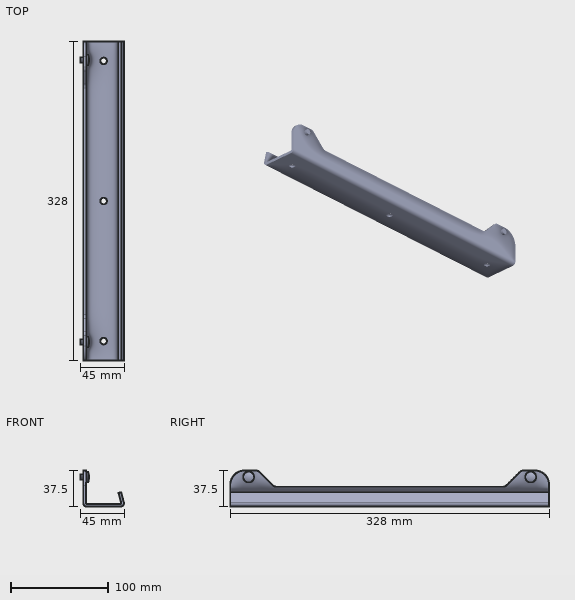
import cadquery as cq
import math

LENGTH = 328.0
CHANNEL_WIDTH = 42.0
WALL_HEIGHT = 37.5
SHEET = 3.0
INNER_BEND_RADIUS = 0.5
OUTER_BEND_RADIUS = INNER_BEND_RADIUS + SHEET

LIP_LEAN = math.radians(15)
LIP_TOP = 15.0

LOW_EDGE_HEIGHT = 20.5
EAR_CORNER_RADIUS = 15.0
EAR_TOP_END = 28.5
SLOPE_RADIUS = 6.0

FLOOR_HOLE_DIAMETER = 6.5
FLOOR_HOLE_X = CHANNEL_WIDTH / 2
FLOOR_HOLE_END_DISTANCE = 20.0
FLOOR_HOLE_OUTER_Y = LENGTH / 2 - FLOOR_HOLE_END_DISTANCE

SHANK_DIAMETER = 6.0
SHANK_PROTRUSION = 3.0
HEAD_DIAMETER = 11.0
HEAD_RIM = 2.0
HEAD_DOME = 1.15
RIVET_END_DISTANCE = 19.0
RIVET_DROP = 7.0
RIVET_Y = LENGTH / 2 - RIVET_END_DISTANCE
RIVET_Z = WALL_HEIGHT - RIVET_DROP


def bend_point(center, radius, angle):
    """Point at the given angle, in radians, on a bend about center."""
    return (center[0] + radius * math.cos(angle), center[1] + radius * math.sin(angle))


def channel_profile():
    """Bent cross-section in XZ, extruded over the full length."""
    wall_bend = (OUTER_BEND_RADIUS, OUTER_BEND_RADIUS)
    lip_bend = (CHANNEL_WIDTH - OUTER_BEND_RADIUS, OUTER_BEND_RADIUS)
    floor_side = -math.pi / 2
    wall_bend_middle = -3 * math.pi / 4
    lip_bend_middle = (floor_side + LIP_LEAN) / 2

    lip_outer_foot = bend_point(lip_bend, OUTER_BEND_RADIUS, LIP_LEAN)
    lip_inner_foot = bend_point(lip_bend, INNER_BEND_RADIUS, LIP_LEAN)
    lip_length = (LIP_TOP - lip_outer_foot[1]) / math.cos(LIP_LEAN)
    lip_outer_tip = bend_point(lip_outer_foot, lip_length, LIP_LEAN + math.pi / 2)
    lip_inner_tip = bend_point(lip_inner_foot, lip_length, LIP_LEAN + math.pi / 2)

    return (
        cq.Workplane("XZ")
        .moveTo(0, WALL_HEIGHT)
        .lineTo(0, OUTER_BEND_RADIUS)
        .threePointArc(
            bend_point(wall_bend, OUTER_BEND_RADIUS, wall_bend_middle),
            bend_point(wall_bend, OUTER_BEND_RADIUS, floor_side),
        )
        .lineTo(*bend_point(lip_bend, OUTER_BEND_RADIUS, floor_side))
        .threePointArc(bend_point(lip_bend, OUTER_BEND_RADIUS, lip_bend_middle), lip_outer_foot)
        .lineTo(*lip_outer_tip)
        .lineTo(*lip_inner_tip)
        .lineTo(*lip_inner_foot)
        .threePointArc(
            bend_point(lip_bend, INNER_BEND_RADIUS, lip_bend_middle),
            bend_point(lip_bend, INNER_BEND_RADIUS, floor_side),
        )
        .lineTo(*bend_point(wall_bend, INNER_BEND_RADIUS, floor_side))
        .threePointArc(
            bend_point(wall_bend, INNER_BEND_RADIUS, wall_bend_middle),
            (SHEET, OUTER_BEND_RADIUS),
        )
        .lineTo(SHEET, WALL_HEIGHT)
        .close()
        .extrude(LENGTH / 2, both=True)
    )


def wall_outline():
    """Plate with the side outline of the tall wall, as wide as the channel."""
    blank = cq.Workplane("XY").box(CHANNEL_WIDTH, LENGTH, WALL_HEIGHT, centered=(False, True, False))
    blank = blank.edges("|X and >Z").fillet(EAR_CORNER_RADIUS)

    slope_rise = WALL_HEIGHT - LOW_EDGE_HEIGHT
    gap_half_top = LENGTH / 2 - EAR_TOP_END
    gap_half_bottom = gap_half_top - slope_rise
    gap = (
        cq.Workplane("YZ")
        .polyline(
            [
                (-gap_half_top, WALL_HEIGHT),
                (-gap_half_bottom, LOW_EDGE_HEIGHT),
                (gap_half_bottom, LOW_EDGE_HEIGHT),
                (gap_half_top, WALL_HEIGHT),
            ]
        )
        .close()
        .extrude(CHANNEL_WIDTH)
    )
    plate = blank.cut(gap)

    ear_arc_start = LENGTH / 2 - EAR_CORNER_RADIUS
    slope_limit = (gap_half_top + ear_arc_start) / 2
    slope_corners = plate.edges("|X").filter(lambda edge: abs(edge.Center().y) < slope_limit)
    return slope_corners.fillet(SLOPE_RADIUS)


def floor_holes():
    return (
        cq.Workplane("XY")
        .pushPoints([(FLOOR_HOLE_X, y) for y in (-FLOOR_HOLE_OUTER_Y, 0, FLOOR_HOLE_OUTER_Y)])
        .circle(FLOOR_HOLE_DIAMETER / 2)
        .extrude(SHEET)
    )


def rivet_hole(y):
    return (
        cq.Workplane("YZ")
        .center(y, RIVET_Z)
        .circle(SHANK_DIAMETER / 2)
        .extrude(SHEET)
    )


def make_channel():
    channel = channel_profile().intersect(wall_outline()).cut(floor_holes())
    for y in (-RIVET_Y, RIVET_Y):
        channel = channel.cut(rivet_hole(y))
    return channel


def make_rivet(y):
    """Shank through the ear and a domed head against its inner face, revolved about X."""
    shank_radius = SHANK_DIAMETER / 2
    head_radius = HEAD_DIAMETER / 2
    rim_x = SHEET + HEAD_RIM
    dome_top_x = rim_x + HEAD_DOME
    dome_radius = (head_radius**2 + HEAD_DOME**2) / (2 * HEAD_DOME)
    half_radius = head_radius / 2
    dome_middle_x = dome_top_x - dome_radius + math.sqrt(dome_radius**2 - half_radius**2)
    return (
        cq.Workplane("XY")
        .moveTo(-SHANK_PROTRUSION, 0)
        .lineTo(-SHANK_PROTRUSION, shank_radius)
        .lineTo(SHEET, shank_radius)
        .lineTo(SHEET, head_radius)
        .lineTo(rim_x, head_radius)
        .threePointArc((dome_middle_x, half_radius), (dome_top_x, 0))
        .close()
        .revolve(360, (0, 0, 0), (1, 0, 0))
        .translate((0, y, RIVET_Z))
    )


channel = make_channel()
rivets = [make_rivet(y) for y in (-RIVET_Y, RIVET_Y)]

result = cq.Compound.makeCompound([channel.val(), *[rivet.val() for rivet in rivets]])